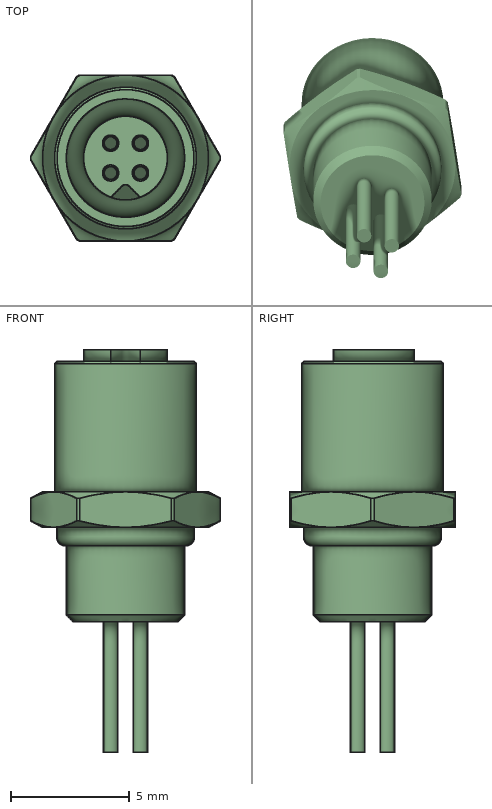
import cadquery as cq
import math

total_height = 17.0
body_bottom = 5.5
collar_bottom = 8.72
nut_bottom = 9.5
nut_top = 11.0
sleeve_top = 16.5

body_radius = 2.5
body_chamfer = 0.3
collar_radius = 2.9
collar_round = 0.37
sleeve_radius = 3.0
sleeve_chamfer = 0.1

nut_across_flats = 7.0
nut_across_corners = 8.0
nut_corner_radius = nut_across_corners / 2
nut_bevel_height = 0.27

cavity_radius = body_radius
cavity_floor = nut_top
insert_radius = 1.77
key_tip = 1.12
key_round = 0.2

contact_offset = 0.63
pin_radius = 0.3
contact_hole_radius = 0.27
contact_hole_depth = 3.4
contact_hole_chamfer = 0.07


def cylinder(radius, bottom, top):
    return cq.Workplane("XY").workplane(offset=bottom).circle(radius).extrude(top - bottom)


def make_shell():
    """Stepped round housing, open at the top."""
    body = cylinder(body_radius, body_bottom, nut_bottom).faces("<Z").chamfer(body_chamfer)
    collar = cylinder(collar_radius, collar_bottom, nut_bottom).faces("<Z").edges().fillet(collar_round)
    sleeve = cylinder(sleeve_radius, nut_bottom, sleeve_top).faces(">Z").chamfer(sleeve_chamfer)
    cavity = cylinder(cavity_radius, cavity_floor, sleeve_top)
    return body.union(collar).union(sleeve).cut(cavity)


def make_nut():
    """Hexagon trimmed by a round blank that is bevelled on both ends."""
    height = nut_top - nut_bottom
    sharp_corners = nut_across_flats / math.cos(math.pi / 6)
    hexagon = cq.Workplane("XY").workplane(offset=nut_bottom).polygon(6, sharp_corners).extrude(height)
    flat_radius = nut_across_flats / 2
    blank = (
        cq.Workplane("XZ")
        .moveTo(0, nut_bottom)
        .lineTo(flat_radius, nut_bottom)
        .lineTo(nut_corner_radius, nut_bottom + nut_bevel_height)
        .lineTo(nut_corner_radius, nut_top - nut_bevel_height)
        .lineTo(flat_radius, nut_top)
        .lineTo(0, nut_top)
        .close()
        .revolve(360, (0, 0), (0, 1))
    )
    bore = cylinder(body_radius, nut_bottom, nut_top)
    return hexagon.intersect(blank).cut(bore)


def make_seal():
    """Upper half of an O-ring lying on the cavity floor around the insert."""
    return (
        cq.Workplane("XZ")
        .moveTo(insert_radius, cavity_floor)
        .threePointArc(
            ((insert_radius + cavity_radius) / 2, cavity_floor + (cavity_radius - insert_radius) / 2),
            (cavity_radius, cavity_floor),
        )
        .close()
        .revolve(360, (0, 0), (0, 1))
    )


def make_insert():
    """Contact carrier with a rounded 90 degree key notch on the -Y side."""
    insert = cylinder(insert_radius, cavity_floor, total_height)
    tangent = key_round * math.sqrt(0.5)
    round_center_y = -key_tip - key_round
    shoulder_y = round_center_y + tangent
    end_x = tangent + shoulder_y + insert_radius
    notch = (
        cq.Workplane("XY")
        .workplane(offset=cavity_floor)
        .moveTo(-end_x, -insert_radius)
        .lineTo(-tangent, shoulder_y)
        .threePointArc((0, -key_tip), (tangent, shoulder_y))
        .lineTo(end_x, -insert_radius)
        .close()
        .extrude(total_height - cavity_floor)
    )
    return insert.cut(notch)


def contact_positions(height):
    pitch = 2 * contact_offset
    return cq.Workplane("XY").workplane(offset=height).rarray(pitch, pitch, 2, 2)


def make_pins():
    return contact_positions(0).circle(pin_radius).extrude(body_bottom)


def make_contact_holes():
    """Blind holes with a conical lead-in at the top."""
    holes = contact_positions(total_height).circle(contact_hole_radius).extrude(-contact_hole_depth)
    lead_in = (
        contact_positions(total_height)
        .circle(contact_hole_radius + contact_hole_chamfer)
        .extrude(-contact_hole_chamfer, taper=45)
    )
    return holes.union(lead_in)


result = (
    make_shell()
    .union(make_nut())
    .union(make_insert())
    .union(make_seal())
    .union(make_pins())
    .cut(make_contact_holes())
)